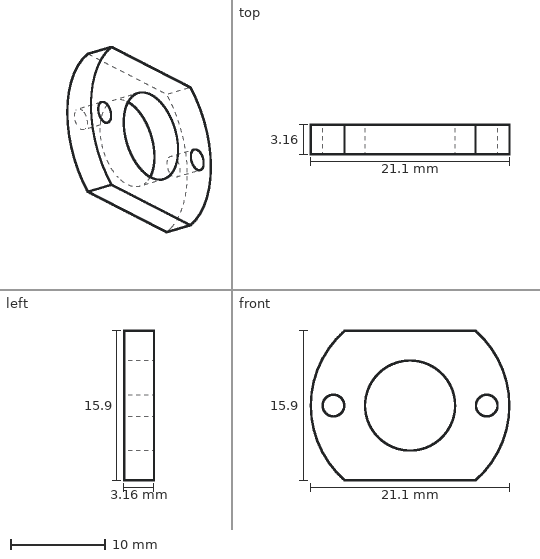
import cadquery as cq

disc_diameter = 21.08
height_across_flats = 15.87
thickness = 3.16
bore_diameter = 9.53
screw_hole_diameter = 2.28
screw_hole_spacing = 16.25

disc = cq.Workplane("XZ").circle(disc_diameter / 2).extrude(thickness / 2, both=True)

flats_envelope = cq.Workplane("XY").box(disc_diameter, thickness, height_across_flats)
plate = disc.intersect(flats_envelope)

bore = cq.Workplane("XZ").circle(bore_diameter / 2).extrude(thickness, both=True)
screw_holes = (
    cq.Workplane("XZ")
    .pushPoints([(side * screw_hole_spacing / 2, 0) for side in (-1, 1)])
    .circle(screw_hole_diameter / 2)
    .extrude(thickness, both=True)
)

result = plate.cut(bore).cut(screw_holes)